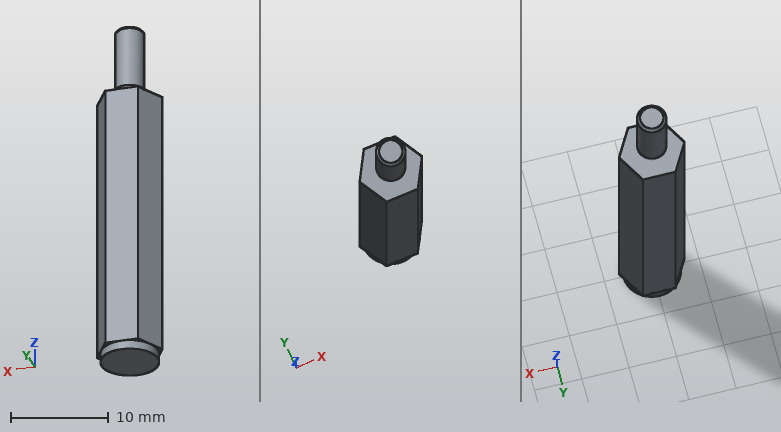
import cadquery as cq

total_height = 38.0
stud_height = 7.98
shoulder_height = total_height - stud_height

hex_sides = 6
across_flats = 6.0
collar_diameter = across_flats
collar_height = 1.0

stud_diameter = 3.0
neck_diameter = 2.2
tip_diameter = 2.4
tip_chamfer_height = 0.3
neck_height = 0.45
root_diameter = 2.55
root_fillet = (root_diameter - neck_diameter) / 2
relief_height = 1.15


def make_collar():
    return cq.Workplane("XY").circle(collar_diameter / 2).extrude(collar_height)


def make_hex_body():
    """Hexagonal prism with two corners on the X axis."""
    return (
        cq.Workplane("XY", origin=(0, 0, collar_height))
        .polygon(hex_sides, across_flats, circumscribed=True)
        .extrude(shoulder_height - collar_height)
        .rotate((0, 0, 0), (0, 0, 1), 180 / hex_sides)
    )


def make_stud():
    """Revolve the half profile of the stud, drawn as radius against height."""
    return (
        cq.Workplane("XZ")
        .moveTo(0, shoulder_height)
        .lineTo(root_diameter / 2, shoulder_height)
        .radiusArc((neck_diameter / 2, shoulder_height + root_fillet), root_fillet)
        .lineTo(neck_diameter / 2, shoulder_height + neck_height)
        .lineTo(stud_diameter / 2, shoulder_height + relief_height)
        .lineTo(stud_diameter / 2, total_height - tip_chamfer_height)
        .lineTo(tip_diameter / 2, total_height)
        .lineTo(0, total_height)
        .close()
        .revolve(360, (0, 0, 0), (0, 1, 0))
    )


result = make_collar().union(make_hex_body()).union(make_stud())